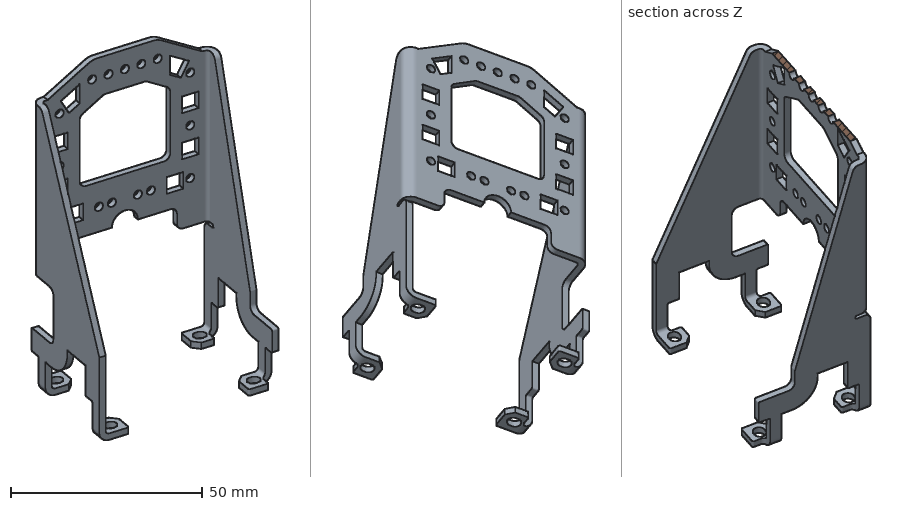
import cadquery as cq
import math

LENGTH = 34.0
WIDTH = 55.0
HEIGHT = 95.0
SHEET = 2.0
BEND_OUTER = 3.0
BEND_INNER = BEND_OUTER - SHEET
ROUND = 2.0
SMALL_ROUND = 0.5

HALF_WIDTH = WIDTH / 2
SHOULDER_Z = 87.0
PANEL_BOTTOM = 35.0

CREST_HALF_WIDTH = 10.0
CREST_ROUND = 5.0
SHOULDER_HALF_WIDTH = 23.75
RECESS_HALF_WIDTH = 16.0
RECESS_TOP = 42.0
RECESS_ARC = 4.0

WINDOW_HALF_WIDTH = 13.9
WINDOW_CREST_HALF_WIDTH = 6.5
WINDOW_BOTTOM = 57.2
WINDOW_SIDE_TOP = 78.9
WINDOW_TOP = 83.3
PIN_DIAMETER = 2.5
PIN_COLUMN_Y = 20.0
PIN_COLUMN_MIDDLE = 65.6
PIN_COLUMN_PITCH = 16.1
PIN_ROW_TOP = 89.0
PIN_ROW_PITCH = 5.0
PIN_ROW_BOTTOM = PIN_COLUMN_MIDDLE - PIN_COLUMN_PITCH
PIN_PAIR_Y = (4.0, 8.0)
SQUARE = 5.0
SQUARE_OFFSET = 7.0
LOW_SQUARE_Y = 15.4
SLANT_CORNER_Y = 19.7
SLANT_CORNER_Z = 85.4
SLANT_ANGLE = math.radians(30)

SLOPE_TOP_X = 5.0
SLOPE_BOTTOM_Z = 26.0
BACK_SLOPE_BOTTOM_Z = 24.0
CUTOUT_DEPTH = 11.0
ARM_TOP = 18.0
ARM_BOTTOM = 10.8
ARM_REACH = 18.0
ARM_ROUND = 8.0
ARCH_TOP = 20.0
LEG_WIDTH = 7.0
NECK_WIDTH = LEG_WIDTH / 2
RELIEF_HEIGHT = 1.0
RELIEF_END_X = 4.7
RELIEF_ROUND = RELIEF_HEIGHT / 2

FOOT_REACH = 9.1
FOOT_CHAMFER = 2.0
FOOT_HOLE_REACH = 5.5
FOOT_HOLE_WIDTH = 3.2
FOOT_HOLE_LENGTH = 3.8
NOTCH_ROUND = 1.0

SHORTEST_LINE = 0.001


def outline(plane, corners):
    """Closed wire through (u, v) corners; a third value rounds that corner to its radius."""
    spans = []
    for i, corner in enumerate(corners):
        point = cq.Vector(corner[0], corner[1])
        if len(corner) == 2:
            spans.append((point,))
            continue
        before = cq.Vector(*corners[i - 1][:2]) - point
        after = cq.Vector(*corners[(i + 1) % len(corners)][:2]) - point
        half_angle = before.getAngle(after) / 2
        radius = corner[2]
        tangent = radius / math.tan(half_angle)
        bisector = (before.normalized() + after.normalized()).normalized()
        middle = point + bisector * (radius / math.sin(half_angle) - radius)
        spans.append((point + before.normalized() * tangent, middle, point + after.normalized() * tangent))
    end = spans[0][-1].toTuple()[:2]
    wire = cq.Workplane(plane).moveTo(*end)
    for span in spans[1:] + spans[:1]:
        start = span[0].toTuple()[:2]
        if math.dist(start, end) > SHORTEST_LINE:
            wire = wire.lineTo(*start)
        end = start
        if len(span) == 3:
            end = span[2].toTuple()[:2]
            wire = wire.threePointArc(span[1].toTuple()[:2], end)
    return wire.close()


def mirrored(half):
    """Corners on the +u side, followed by their mirror images on the -u side."""
    return half + [(-corner[0], *corner[1:]) for corner in reversed(half)]


def quarter_bend(plane, u, v, depth):
    """Quarter-ring bend centred on (u, v), on its -u, -v side."""
    ring = cq.Workplane(plane).center(u, v).circle(BEND_OUTER).circle(BEND_INNER).extrude(depth)
    quadrant = (
        cq.Workplane(plane)
        .center(u - BEND_OUTER / 2, v - BEND_OUTER / 2)
        .rect(BEND_OUTER, BEND_OUTER)
        .extrude(depth)
    )
    return ring.intersect(quadrant)


def panel():
    half = [
        (CREST_HALF_WIDTH, HEIGHT, CREST_ROUND),
        (SHOULDER_HALF_WIDTH, SHOULDER_Z),
        (HALF_WIDTH - BEND_OUTER, SHOULDER_Z),
        (HALF_WIDTH - BEND_OUTER, PANEL_BOTTOM),
        (RECESS_HALF_WIDTH, PANEL_BOTTOM, ROUND),
        (RECESS_HALF_WIDTH, RECESS_TOP, ROUND),
    ]
    sheet = outline("YZ", mirrored(half)).extrude(SHEET)
    arc = cq.Workplane("YZ").center(0, RECESS_TOP).circle(RECESS_ARC).extrude(SHEET)
    return sheet.cut(arc).cut(window()).cut(pin_holes()).cut(square_holes()).cut(slanted_holes())


def window():
    half = [
        (WINDOW_CREST_HALF_WIDTH, WINDOW_TOP, ROUND),
        (WINDOW_HALF_WIDTH, WINDOW_SIDE_TOP, ROUND),
        (WINDOW_HALF_WIDTH, WINDOW_BOTTOM, ROUND),
    ]
    return outline("YZ", mirrored(half)).extrude(SHEET)


def pin_holes():
    places = [(i * PIN_ROW_PITCH, PIN_ROW_TOP) for i in range(-2, 3)]
    for side in (-1, 1):
        for i in (-1, 0, 1):
            places.append((side * PIN_COLUMN_Y, PIN_COLUMN_MIDDLE + i * PIN_COLUMN_PITCH))
        for y in PIN_PAIR_Y:
            places.append((side * y, PIN_ROW_BOTTOM))
    return cq.Workplane("YZ").pushPoints(places).circle(PIN_DIAMETER / 2).extrude(SHEET)


def square_holes():
    places = []
    for side in (-1, 1):
        places.append((side * PIN_COLUMN_Y, PIN_COLUMN_MIDDLE + SQUARE_OFFSET))
        places.append((side * PIN_COLUMN_Y, PIN_COLUMN_MIDDLE - SQUARE_OFFSET))
        places.append((side * LOW_SQUARE_Y, PIN_ROW_BOTTOM))
    return cq.Workplane("YZ").pushPoints(places).rect(SQUARE, SQUARE).extrude(SHEET)


def slanted_holes():
    """Two openings square to the slanted shoulders, cut off in line with the window sides."""
    low_y = SLANT_CORNER_Y - SQUARE * math.sin(SLANT_ANGLE)
    low_z = SLANT_CORNER_Z - SQUARE * math.cos(SLANT_ANGLE)
    rise = math.tan(SLANT_ANGLE)
    corners = [
        (SLANT_CORNER_Y, SLANT_CORNER_Z),
        (low_y, low_z),
        (WINDOW_HALF_WIDTH, low_z + (low_y - WINDOW_HALF_WIDTH) * rise),
        (WINDOW_HALF_WIDTH, SLANT_CORNER_Z + (SLANT_CORNER_Y - WINDOW_HALF_WIDTH) * rise),
    ]
    hole = outline("YZ", corners).extrude(SHEET)
    return hole.union(hole.mirror("XZ"))


def front_flange_corners():
    """XZ corners of the -Y flange: its arm carries the leg next to the panel."""
    return [
        (BEND_OUTER, SHOULDER_Z),
        (SLOPE_TOP_X, SHOULDER_Z, ROUND),
        (LENGTH, SLOPE_BOTTOM_Z),
        (LENGTH, BEND_OUTER),
        (LENGTH - NECK_WIDTH, BEND_OUTER),
        (LENGTH - NECK_WIDTH, ARM_BOTTOM, SMALL_ROUND),
        (LENGTH - LEG_WIDTH, ARM_BOTTOM, SMALL_ROUND),
        (LENGTH - LEG_WIDTH, ARCH_TOP),
        (ARM_REACH, ARCH_TOP),
        (ARM_REACH, ARM_BOTTOM, ARM_ROUND),
        (LEG_WIDTH, ARM_BOTTOM),
        (LEG_WIDTH, BEND_OUTER),
        (NECK_WIDTH, BEND_OUTER),
        (NECK_WIDTH, ARM_BOTTOM, SMALL_ROUND),
        (0, ARM_BOTTOM, SMALL_ROUND),
        (0, ARM_TOP, SMALL_ROUND),
        (CUTOUT_DEPTH, ARM_TOP, ROUND),
        (CUTOUT_DEPTH, PANEL_BOTTOM, ROUND),
        (BEND_OUTER, PANEL_BOTTOM),
    ]


def back_flange_corners():
    """XZ corners of the +Y flange: its arm carries the leg away from the panel."""
    cutout_x = LENGTH - CUTOUT_DEPTH
    relief_bottom = PANEL_BOTTOM - RELIEF_HEIGHT
    return [
        (BEND_OUTER, SHOULDER_Z),
        (SLOPE_TOP_X, SHOULDER_Z, ROUND),
        (cutout_x, BACK_SLOPE_BOTTOM_Z),
        (cutout_x, ARM_TOP, ROUND),
        (LENGTH, ARM_TOP, SMALL_ROUND),
        (LENGTH, ARM_BOTTOM, SMALL_ROUND),
        (LENGTH - NECK_WIDTH, ARM_BOTTOM, SMALL_ROUND),
        (LENGTH - NECK_WIDTH, BEND_OUTER),
        (LENGTH - LEG_WIDTH, BEND_OUTER),
        (LENGTH - LEG_WIDTH, ARM_BOTTOM),
        (LENGTH - ARM_REACH, ARM_BOTTOM, ARM_ROUND),
        (LENGTH - ARM_REACH, ARCH_TOP),
        (LEG_WIDTH, ARCH_TOP),
        (LEG_WIDTH, ARM_BOTTOM, SMALL_ROUND),
        (NECK_WIDTH, ARM_BOTTOM, SMALL_ROUND),
        (NECK_WIDTH, BEND_OUTER),
        (0, BEND_OUTER),
        (0, relief_bottom, ROUND),
        (RELIEF_END_X, relief_bottom, RELIEF_ROUND),
        (RELIEF_END_X, PANEL_BOTTOM, RELIEF_ROUND),
        (BEND_OUTER, PANEL_BOTTOM),
    ]


def foot(notch_inside):
    """Foot and bend at the panel end of the -Y flange; a notch takes one half of the bend's width."""
    end_y = FOOT_REACH - HALF_WIDTH
    bend_end_y = BEND_OUTER - HALF_WIDTH
    outer_root = (0, bend_end_y)
    inner_root = (LEG_WIDTH, bend_end_y)
    if notch_inside:
        inner_root += (SMALL_ROUND,)
    else:
        outer_root += (SMALL_ROUND,)
    pad_corners = [
        outer_root,
        inner_root,
        (LEG_WIDTH, end_y - FOOT_CHAMFER),
        (LEG_WIDTH - FOOT_CHAMFER, end_y),
        (0, end_y, SMALL_ROUND),
    ]
    pad = outline("XY", pad_corners).extrude(SHEET)
    hole = (
        cq.Workplane("XY")
        .center(LEG_WIDTH / 2, FOOT_HOLE_REACH - HALF_WIDTH)
        .slot2D(FOOT_HOLE_LENGTH, FOOT_HOLE_WIDTH, 90)
        .extrude(SHEET)
    )
    bend = quarter_bend("YZ", bend_end_y, BEND_OUTER, LEG_WIDTH)
    edge_x = LEG_WIDTH if notch_inside else 0
    notch_corners = [
        (edge_x, -HALF_WIDTH),
        (NECK_WIDTH, -HALF_WIDTH),
        (NECK_WIDTH, bend_end_y, NOTCH_ROUND),
        (edge_x, bend_end_y),
    ]
    notch = outline("XY", notch_corners).extrude(BEND_OUTER)
    return pad.cut(hole).union(bend.cut(notch))


def swap_ends(body):
    """Mirror between the panel end and the free end of the flanges."""
    return body.mirror("YZ", (LENGTH / 2, 0, 0))


def flange(corners, near_notch_inside):
    """Flange on the -Y side, with its bend to the panel and its two feet."""
    sheet = outline("XZ", corners).extrude(SHEET).translate((0, SHEET - HALF_WIDTH, 0))
    bend = quarter_bend("XY", BEND_OUTER, BEND_OUTER - HALF_WIDTH, SHOULDER_Z - PANEL_BOTTOM)
    far_notch_inside = not near_notch_inside
    return (
        sheet
        .union(bend.translate((0, 0, PANEL_BOTTOM)))
        .union(foot(near_notch_inside))
        .union(swap_ends(foot(far_notch_inside)))
    )


front_flange = flange(front_flange_corners(), near_notch_inside=False)
back_flange = flange(back_flange_corners(), near_notch_inside=True).mirror("XZ")
result = panel().union(front_flange).union(back_flange)